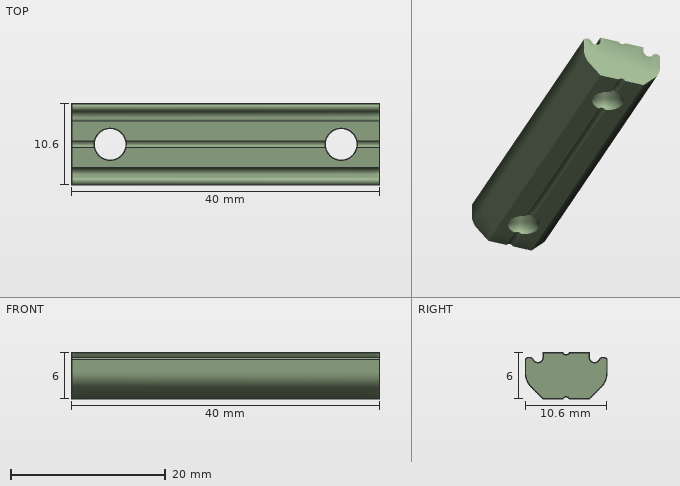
import cadquery as cq
import math

length = 40.0
half_width = 10.6 / 2
height = 6.0

half_land = 3.0
lip_height = 5.4
channel_floor = 4.7
channel_radius = 0.7
lip_radius = 0.6
side_radius = 2.5

score_half_width = 0.45
score_depth = 0.26

hole_diameter = 4.1
hole_spacing = 30.0

channel_y = half_land + channel_radius
channel_z = channel_floor + channel_radius

lip_z = lip_height - lip_radius
lip_y = channel_y + math.sqrt((channel_radius + lip_radius) ** 2 - (channel_z - lip_z) ** 2)

lip_end_z = lip_z + math.sqrt(lip_radius**2 - (half_width - lip_y) ** 2)

joint_fraction = channel_radius / (channel_radius + lip_radius)
joint_y = channel_y + joint_fraction * (lip_y - channel_y)
joint_z = channel_z + joint_fraction * (lip_z - channel_z)

flank_height = half_width - half_land


def half_profile():
    """Closed YZ outline of the +Y half of the bar, without the blended edge."""
    return (
        cq.Workplane("YZ", origin=(-length / 2, 0, 0))
        .moveTo(0, 0)
        .lineTo(half_land, 0)
        .lineTo(half_width, flank_height)
        .lineTo(half_width, lip_end_z)
        .threePointArc((lip_y, lip_height), (joint_y, joint_z))
        .threePointArc((channel_y, channel_floor), (half_land, channel_z))
        .lineTo(half_land, height)
        .lineTo(0, height)
        .close()
    )


def bar():
    half = half_profile().extrude(length)
    whole = half.union(half.mirror("XZ"))
    side_edge_points = [(0, side * half_width, flank_height) for side in (-1, 1)]
    for point in side_edge_points:
        whole = whole.edges(cq.selectors.NearestToPointSelector(point)).fillet(side_radius)
    return whole


def score(surface_z, inward):
    """Round-bottomed groove cutter; inward is the Z direction into the bar."""
    return (
        cq.Workplane("YZ", origin=(-length / 2, 0, 0))
        .moveTo(-score_half_width, surface_z)
        .threePointArc((0, surface_z + inward * score_depth), (score_half_width, surface_z))
        .close()
        .extrude(length)
    )


def through_holes():
    return (
        cq.Workplane("XY")
        .pushPoints([(-hole_spacing / 2, 0), (hole_spacing / 2, 0)])
        .circle(hole_diameter / 2)
        .extrude(height)
    )


result = bar().cut(score(height, -1)).cut(score(0, 1)).cut(through_holes())